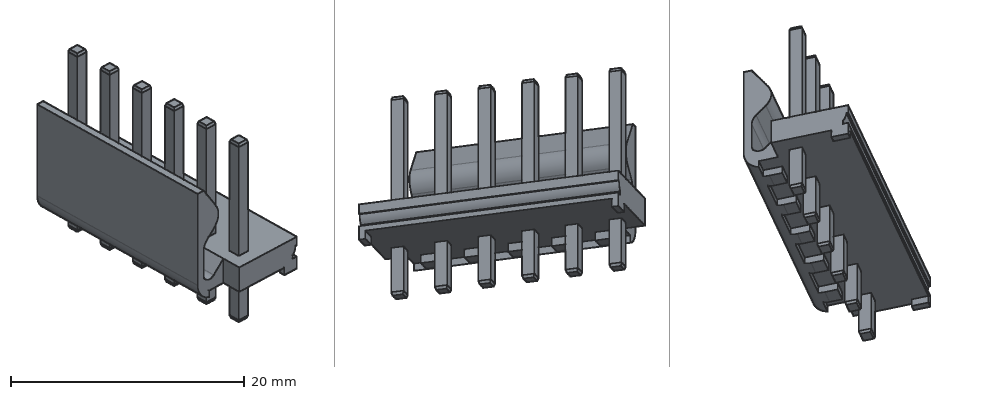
import cadquery as cq
import math


pin_count = 6
pin_pitch = 3.97
pin_size = 1.13
pin_above_base = 11.43
pin_below_base = 4.37
pin_tip_height = 0.28
pin_tip_inset = 0.1

base_length = 23.6
base_depth = 6.92
base_height = 2.5
base_front = -1.8
base_back = base_front + base_depth

foot_height = 0.75
foot_length = 0.6
foot_depth = 1.5

groove_top = base_height - 0.87
groove_height = 1.15
groove_top_depth = 0.17
groove_depth = 0.5
groove_floor_height = 0.3
groove_bottom = groove_top - groove_height

latch_length = 19.71
latch_reach = 3.1
latch_thickness = 0.73
latch_rise = 8.03
latch_bend_radius = 1.94
latch_front = base_front - latch_reach
latch_inner = latch_front + latch_thickness
latch_top = base_height + latch_rise
latch_bottom = -foot_height

hook_lead_in_angle = 33.7
hook_under_angle = 45.0
hook_foot_drop = 5.62
hook_tip_radius = 1.7
hook_root_radius = 1.32

trough_radius = 0.7
trough_angle = 45.0

relief_depth = 1.72
rib_length = 1.35


def pin_positions():
    first = -(pin_count - 1) * pin_pitch / 2
    return [first + i * pin_pitch for i in range(pin_count)]


def box(x_middle, length, y_range, z_range):
    """Block with its X extent centred on x_middle, spanning the given Y and Z ranges."""
    depth = y_range[1] - y_range[0]
    height = z_range[1] - z_range[0]
    corner = (x_middle - length / 2, y_range[0], z_range[0])
    return cq.Workplane("XY").box(length, depth, height, centered=False).translate(corner)


def along_x(sketch, length):
    """Extrude a closed YZ outline symmetrically about X = 0."""
    return sketch.extrude(length / 2, both=True)


def make_base():
    base = box(0, base_length, (base_front, base_back), (0, base_height))
    foot_offset = (base_length - foot_length) / 2
    for x in (-foot_offset, foot_offset):
        foot = box(x, foot_length, (base_back - foot_depth, base_back), (-foot_height, 0))
        base = base.union(foot)
    return base.cut(make_back_groove())


def make_back_groove():
    arc_drop = groove_height - groove_floor_height
    arc_step = groove_depth - groove_top_depth
    arc_start = (base_back - groove_top_depth, groove_top)
    arc_end = (base_back - groove_depth, groove_top - arc_drop)
    radius = (arc_drop**2 + arc_step**2) / (2 * arc_step)
    outline = (
        cq.Workplane("YZ")
        .moveTo(base_back, groove_top)
        .lineTo(*arc_start)
        .radiusArc(arc_end, radius)
        .lineTo(base_back - groove_depth, groove_bottom)
        .lineTo(base_back, groove_bottom)
        .close()
    )
    return along_x(outline, base_length)


def make_latch():
    hook_root_z = latch_top - hook_foot_drop
    lead_in = math.tan(math.radians(hook_lead_in_angle))
    under = math.tan(math.radians(hook_under_angle))
    hook_out = hook_foot_drop / (1 / lead_in + 1 / under)
    hook_tip = (latch_inner + hook_out, hook_root_z + hook_out / under)
    hook_root = (latch_inner, hook_root_z)

    slope = math.radians(trough_angle)
    trough_y = latch_inner + trough_radius
    run = base_front - trough_y
    trough_z = base_height - run * math.tan(slope) + trough_radius / math.cos(slope)
    slope_end = (
        trough_y + trough_radius * math.sin(slope),
        trough_z - trough_radius * math.cos(slope),
    )

    outline = (
        cq.Workplane("YZ")
        .moveTo(base_front, base_height)
        .lineTo(*slope_end)
        .threePointArc((trough_y, trough_z - trough_radius), (latch_inner, trough_z))
        .lineTo(*hook_root)
        .lineTo(*hook_tip)
        .lineTo(latch_inner, latch_top)
        .lineTo(latch_front, latch_top)
        .lineTo(latch_front, latch_bottom)
        .lineTo(base_front, latch_bottom)
        .close()
    )
    latch = along_x(outline, latch_length)

    roundings = [
        (hook_tip, hook_tip_radius),
        (hook_root, hook_root_radius),
        ((latch_front, latch_bottom), latch_bend_radius),
    ]
    for (y, z), radius in roundings:
        latch = latch.edges(cq.selectors.NearestToPointSelector((0, y, z))).fillet(radius)
    return latch.cut(make_latch_relief())


def make_latch_relief():
    relief_y = (base_front - relief_depth, base_front)
    relief_z = (latch_bottom, 0)
    relief = box(0, latch_length, relief_y, relief_z)
    for pin_x in pin_positions()[:-1]:
        relief = relief.cut(box(pin_x + pin_pitch / 2, rib_length, relief_y, relief_z))
    return relief


def make_pin(x):
    length = pin_below_base + base_height + pin_above_base
    return (
        cq.Workplane("XY")
        .box(pin_size, pin_size, length, centered=(True, True, False))
        .faces("<Z or >Z")
        .chamfer(pin_tip_height, pin_tip_inset)
        .translate((x, 0, -pin_below_base))
    )


result = make_base().union(make_latch())
for pin_x in pin_positions():
    result = result.union(make_pin(pin_x))